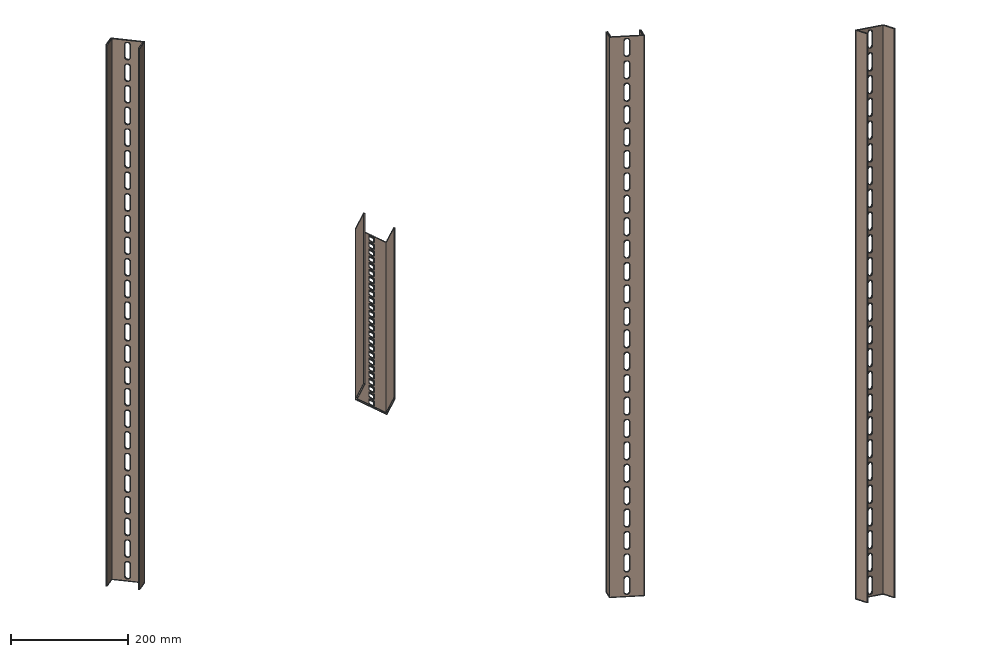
import cadquery as cq

width = 60.0
depth = 32.0
length = 1000.0
sheet = 2.5

slot_pitch = 40.0
slot_length = 32.0
slot_width = 10.0
slot_count = int(length // slot_pitch)
along_length = 90


def make_channel():
    """U-shaped profile with square corners, open towards -Y."""
    outer = cq.Workplane("XY").box(width, depth, length)
    cavity = (
        cq.Workplane("XY")
        .box(width - 2 * sheet, depth, length)
        .translate((0, -sheet, 0))
    )
    return outer.cut(cavity)


def make_web_slots():
    """Evenly pitched slot cutters through the web, centred on the length."""
    outer_face = cq.Workplane("XZ", origin=(0, depth / 2, 0))
    return (
        outer_face
        .rarray(slot_pitch, slot_pitch, 1, slot_count)
        .slot2D(slot_length, slot_width, along_length)
        .extrude(sheet)
    )


result = make_channel().cut(make_web_slots())